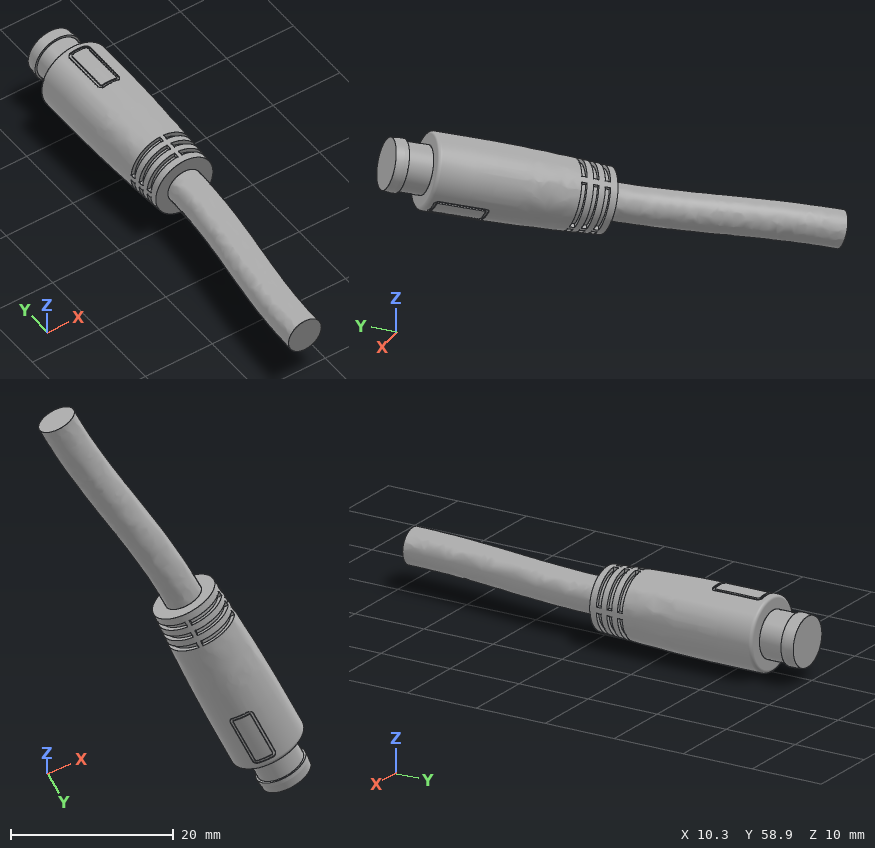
import cadquery as cq
import math

TOTAL_LENGTH = 58.9

NOSE_LENGTH = 5.0
TIP_RADIUS = 3.35
COLLAR_RADIUS = 3.5
NECK_RADIUS = 3.2
COLLAR_START = 1.1
COLLAR_END = 1.7

BODY_RADIUS = 5.0
BODY_EDGE_ROUND = 0.5
BODY_END_RADIUS = 4.3
TAPER_START = 10.0
BODY_END = 28.9

GROOVE_COUNT = 3
GROOVE_START = 24.05
GROOVE_WIDTH = 0.7
GROOVE_PITCH = 1.6
GROOVE_DEPTH = 0.55
TOP_RIB_WIDTH = 0.6
SIDE_RIB_WIDTH = 0.8

FRAME_START = 5.9
FRAME_LENGTH = 7.2
FRAME_WIDTH = 3.1
FRAME_LINE = 0.35
FRAME_CORNER = 0.55
FRAME_DEPTH = 0.2

CABLE_RADIUS = 2.5
CABLE_OFFSET = 2.75
CABLE_EMBED = 1.2

taper_length = BODY_END - TAPER_START
taper_drop = BODY_RADIUS - BODY_END_RADIUS
taper_arc_radius = (taper_length**2 + taper_drop**2) / (2 * taper_drop)


def body_radius_at(distance):
    """Radius of the tapered grip at a distance behind the nose tip."""
    along = distance - TAPER_START
    return BODY_RADIUS - taper_arc_radius + math.sqrt(taper_arc_radius**2 - along**2)


def make_plug():
    """Nose and grip body as one turned shape."""
    middle = (TAPER_START + BODY_END) / 2
    round_mid = BODY_EDGE_ROUND * (1 - math.sqrt(0.5))
    profile = (
        cq.Workplane("XY")
        .lineTo(TIP_RADIUS, 0)
        .lineTo(COLLAR_RADIUS, -COLLAR_START)
        .lineTo(COLLAR_RADIUS, -COLLAR_END)
        .lineTo(NECK_RADIUS, -COLLAR_END)
        .lineTo(NECK_RADIUS, -NOSE_LENGTH)
        .lineTo(BODY_RADIUS - BODY_EDGE_ROUND, -NOSE_LENGTH)
        .threePointArc(
            (BODY_RADIUS - round_mid, -NOSE_LENGTH - round_mid),
            (BODY_RADIUS, -NOSE_LENGTH - BODY_EDGE_ROUND),
        )
        .lineTo(BODY_RADIUS, -TAPER_START)
        .threePointArc((body_radius_at(middle), -middle), (BODY_END_RADIUS, -BODY_END))
        .lineTo(0, -BODY_END)
        .close()
    )
    return profile.revolve(360, (0, 0), (0, 1))


def make_groove(start):
    """Ring groove interrupted by four ribs, at the top, bottom and both sides."""
    outer = BODY_RADIUS
    floor = body_radius_at(start + GROOVE_WIDTH / 2) - GROOVE_DEPTH
    ring = (
        cq.Workplane("XZ", origin=(0, -start, 0))
        .circle(outer)
        .circle(floor)
        .extrude(GROOVE_WIDTH)
    )
    rib_centre = (0, -start - GROOVE_WIDTH / 2, 0)
    upright_ribs = cq.Workplane(origin=rib_centre).box(TOP_RIB_WIDTH, 2 * GROOVE_WIDTH, 2 * outer)
    side_ribs = cq.Workplane(origin=rib_centre).box(2 * outer, 2 * GROOVE_WIDTH, SIDE_RIB_WIDTH)
    return ring.cut(upright_ribs).cut(side_ribs)


def make_label_frame():
    """Rounded rectangular frame that is engraved to an even depth in the grip."""
    centre_y = -FRAME_START - FRAME_LENGTH / 2

    def rounded_block(inset):
        return (
            cq.Workplane("XY", origin=(0, centre_y, 0))
            .rect(FRAME_WIDTH - 2 * inset, FRAME_LENGTH - 2 * inset)
            .extrude(BODY_RADIUS)
            .edges("|Z")
            .fillet(FRAME_CORNER - inset)
        )

    core = cq.Workplane("XZ").circle(BODY_RADIUS - FRAME_DEPTH).extrude(BODY_END)
    return rounded_block(0).cut(rounded_block(FRAME_LINE)).cut(core)


def make_cable():
    """Round cable that bends sideways and ends parallel to the plug axis."""
    straight = cq.Workplane("XZ", origin=(0, -BODY_END + CABLE_EMBED, 0))
    root = straight.circle(CABLE_RADIUS).extrude(CABLE_EMBED)
    path = cq.Workplane("XY").spline(
        [(0, -BODY_END), (-CABLE_OFFSET, -TOTAL_LENGTH)],
        tangents=[(0, -1), (0, -1)],
    )
    bend = cq.Workplane("XZ", origin=(0, -BODY_END, 0)).circle(CABLE_RADIUS).sweep(path)
    return root.union(bend)


result = make_plug()
for index in range(GROOVE_COUNT):
    result = result.cut(make_groove(GROOVE_START + index * GROOVE_PITCH))

top_frame = make_label_frame()
result = result.cut(top_frame).cut(top_frame.mirror("XY"))
result = result.union(make_cable())